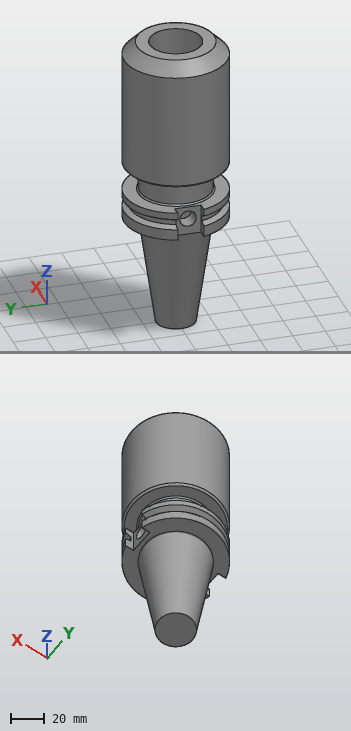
import cadquery as cq

total_height = 185.0

gauge_radius = 22.2
gauge_height = 68.5
taper_ratio = 7 / 24
tip_radius = gauge_radius - gauge_height * taper_ratio / 2

flange_diameter = 63.5
flange_radius = flange_diameter / 2
flange_bottom = 69.5
flange_top = 87.4
groove_floor_radius = 28.1
groove_center = 79.5
groove_width = 6.7
groove_flank_height = 1.7
groove_bottom = groove_center - groove_width / 2
groove_top = groove_center + groove_width / 2

neck_radius = gauge_radius
neck_relief = 1.0
body_radius = flange_radius
body_bottom = 104.2
body_bottom_chamfer = 1.3
body_top_chamfer = 8.0
bore_radius = 16.0
bore_depth = 74.0

slot_width = 16.1
slot_floor_distance = 25.0
slot_hole_diameter = 10.0
slot_hole_depth = 10.0
slot_hole_height = groove_center


def make_revolved_body():
    """Holder turned about Z from its half section."""
    half_section = [
        (0, 0),
        (tip_radius, 0),
        (gauge_radius, gauge_height),
        (gauge_radius, flange_bottom),
        (flange_radius, flange_bottom),
        (flange_radius, groove_bottom),
        (groove_floor_radius, groove_bottom + groove_flank_height),
        (groove_floor_radius, groove_top - groove_flank_height),
        (flange_radius, groove_top),
        (flange_radius, flange_top),
        (neck_radius + neck_relief, flange_top),
        (neck_radius, flange_top + neck_relief),
        (neck_radius, body_bottom - neck_relief),
        (neck_radius + neck_relief, body_bottom),
        (body_radius - body_bottom_chamfer, body_bottom),
        (body_radius, body_bottom + body_bottom_chamfer),
        (body_radius, total_height - body_top_chamfer),
        (body_radius - body_top_chamfer, total_height),
        (0, total_height),
    ]
    return cq.Workplane("XZ").polyline(half_section).close().revolve(360, (0, 0), (0, 1))


def make_bore():
    """Blind tool bore open at the top."""
    return cq.Workplane("XY").workplane(offset=total_height - bore_depth).circle(bore_radius).extrude(bore_depth)


def make_drive_slot(side):
    """Slot through the flange height with a blind radial hole; side is -1 or +1 along X."""
    slot_length = flange_radius - slot_floor_distance
    slot_height = flange_top - flange_bottom
    slot = cq.Workplane("XY").box(slot_length, slot_width, slot_height).translate(
        (side * (slot_floor_distance + slot_length / 2), 0, (flange_bottom + flange_top) / 2)
    )
    hole = (
        cq.Workplane("YZ", origin=(side * slot_floor_distance, 0, slot_hole_height))
        .circle(slot_hole_diameter / 2)
        .extrude(-side * slot_hole_depth)
    )
    return slot.union(hole)


result = make_revolved_body().cut(make_bore())
for slot_side in (-1, 1):
    result = result.cut(make_drive_slot(slot_side))